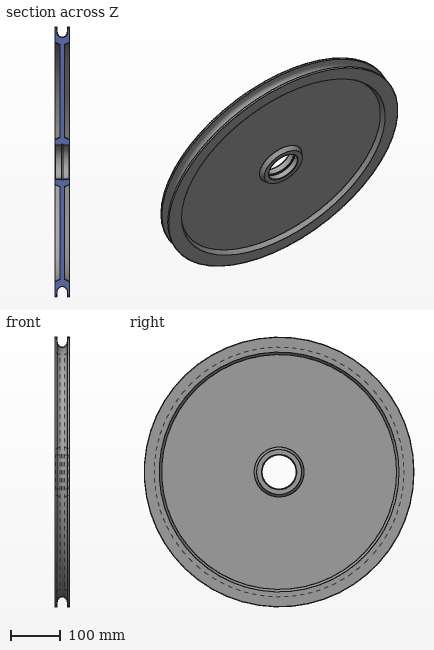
import cadquery as cq
import math

outer_diameter = 540.0
width = 30.0

groove_radius = 10.0
groove_depth = 20.0
flank_angle = math.radians(5.0)

recess_depth = 10.0
recess_diameter = 480.0
hub_diameter = 90.0
taper_run = 5.0

bore_diameter = 68.0
bore_chamfer = 1.0
ring_groove_diameter = 71.0
ring_groove_width = 2.65

half_width = width / 2
outer_radius = outer_diameter / 2


def make_disc(diameter, length):
    """Solid disc on the X axis, centred at mid-width."""
    return cq.Workplane("YZ").circle(diameter / 2).extrude(length / 2, both=True)


def revolve_about_x(profile):
    """Full turn of a closed XY profile around the wheel axis."""
    return profile.revolve(360, (0, 0, 0), (1, 0, 0))


def make_rope_groove():
    """Ring cut from the rim, its straight flanks tangent to the round bottom."""
    arc_center_y = outer_radius - groove_depth + groove_radius
    tangent_x = groove_radius * math.cos(flank_angle)
    tangent_y = arc_center_y - groove_radius * math.sin(flank_angle)
    mouth_half_width = tangent_x + (outer_radius - tangent_y) * math.tan(flank_angle)
    profile = (
        cq.Workplane("XY")
        .moveTo(-mouth_half_width, outer_radius)
        .lineTo(-tangent_x, tangent_y)
        .threePointArc((0, outer_radius - groove_depth), (tangent_x, tangent_y))
        .lineTo(mouth_half_width, outer_radius)
        .close()
    )
    return revolve_about_x(profile)


def make_recess():
    """Ring-shaped recess of the -X side, narrowing toward its floor."""
    floor_x = -half_width + recess_depth
    recess_radius = recess_diameter / 2
    hub_radius = hub_diameter / 2
    profile = (
        cq.Workplane("XY")
        .moveTo(-half_width, hub_radius)
        .lineTo(-half_width, recess_radius)
        .lineTo(floor_x, recess_radius - taper_run)
        .lineTo(floor_x, hub_radius + taper_run)
        .close()
    )
    return revolve_about_x(profile)


def make_bore():
    """Through bore, flared at both ends by the chamfers."""
    bore_radius = bore_diameter / 2
    flare_radius = bore_radius + bore_chamfer
    flare_x = half_width - bore_chamfer
    profile = (
        cq.Workplane("XY")
        .moveTo(-half_width, 0)
        .lineTo(-half_width, flare_radius)
        .lineTo(-flare_x, bore_radius)
        .lineTo(flare_x, bore_radius)
        .lineTo(half_width, flare_radius)
        .lineTo(half_width, 0)
        .close()
    )
    return revolve_about_x(profile)


wheel = make_disc(outer_diameter, width).cut(make_rope_groove())
recess = make_recess()
wheel = wheel.cut(recess).cut(recess.mirror("YZ"))

ring_groove = make_disc(ring_groove_diameter, ring_groove_width)
result = wheel.cut(make_bore()).cut(ring_groove)